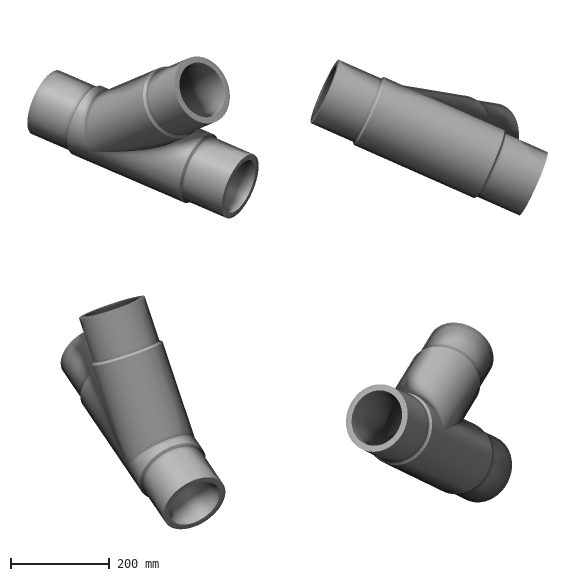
import cadquery as cq
import math

run_length = 464.0
pipe_diameter = 140.0
bore_diameter = 114.5
body_diameter = 150.5
body_length = 275.5
branch_length = 315.0
branch_body_length = 221.0
branch_angle = 45.0
branch_origin_x = -81.5
shoulder_length = 4.5

run_core_length = body_length - 2 * shoulder_length

run_start = cq.Plane(origin=(-run_length / 2, 0, 0), xDir=(0, 1, 0), normal=(1, 0, 0))
core_start = cq.Plane(origin=(-run_core_length / 2, 0, 0), xDir=(0, 1, 0), normal=(1, 0, 0))
angle = math.radians(branch_angle)
branch_start = cq.Plane(
    origin=(branch_origin_x, 0, 0),
    xDir=(0, 1, 0),
    normal=(math.cos(angle), 0, math.sin(angle)),
)


def cylinder(plane, diameter, length):
    """Solid round bar along the normal of the plane."""
    return cq.Workplane(plane).circle(diameter / 2).extrude(length)


def shoulder(plane, offset):
    """Cone tapering from the body down to the pipe, starting at an offset along the plane normal."""
    cone = cq.Solid.makeCone(
        body_diameter / 2,
        pipe_diameter / 2,
        shoulder_length,
        pnt=plane.toWorldCoords((0, 0, offset)),
        dir=plane.zDir,
    )
    return cq.Workplane(cone)


run = cylinder(run_start, pipe_diameter, run_length)
run = run.union(cylinder(core_start, body_diameter, run_core_length))
for shoulder_plane in (cq.Plane.YZ(), cq.Plane.YZ().rotated((0, 180, 0))):
    run = run.union(shoulder(shoulder_plane, run_core_length / 2))

branch_core_length = branch_body_length - shoulder_length
branch = cylinder(branch_start, pipe_diameter, branch_length)
branch = branch.union(cylinder(branch_start, body_diameter, branch_core_length))
branch = branch.union(shoulder(branch_start, branch_core_length))

upper_half = cq.Workplane("XY").box(
    2 * run_length, 2 * body_diameter, 2 * branch_length, centered=(True, True, False)
)
branch = branch.intersect(upper_half)

run_bore = cylinder(run_start, bore_diameter, run_length)
branch_bore = cylinder(branch_start, bore_diameter, branch_length).intersect(upper_half)

result = run.union(branch).cut(run_bore).cut(branch_bore)